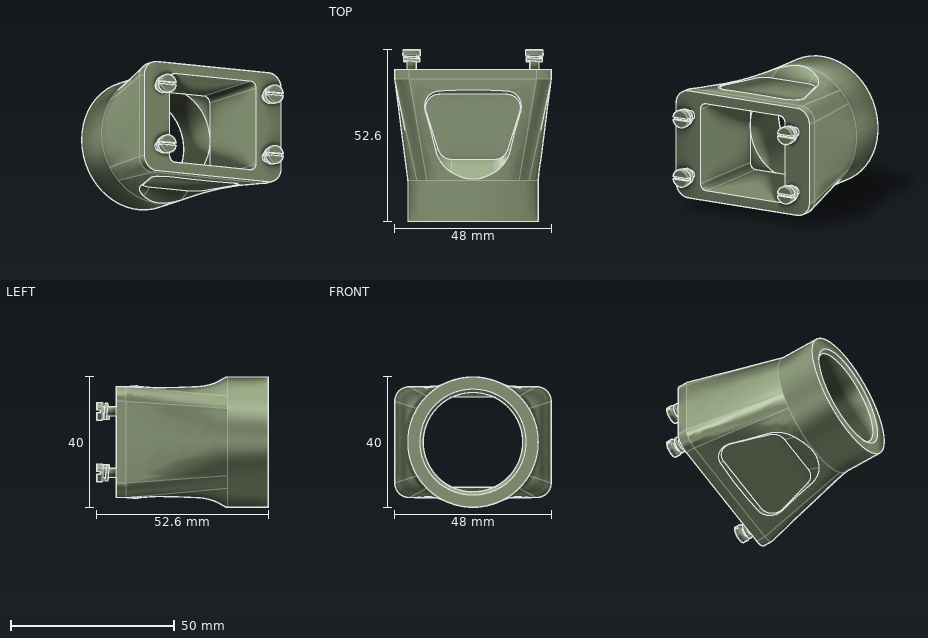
import cadquery as cq
import math


total_length = 52.6
collar_length = 12.5
flange_thickness = 3.0
screw_reach = 6.0
flange_back = total_length - screw_reach
flange_front = flange_back - flange_thickness

collar_radius = 20.0
flange_width = 48.0
flange_height = 34.0
flange_corner = 4.45

corner_side_angle = 31.0
corner_top_angle = 45.0

bore_radius = 15.2
bore_depth = 17.6
mouth_chamfer = 1.05
cavity_width = 30.3
cavity_height = 27.55
cavity_corner = 2.0

recess_floor = 16.6
recess_front = 19.05
recess_back = 39.0
recess_front_half_width = 9.7
recess_back_half_width = 16.05
recess_corner = 4.15
recess_wall_taper = 61.0
recess_cut_height = 4.2

screw_x = 18.8
screw_z = 9.4
shank_radius = 1.45
head_radius = 2.75
head_height = 2.0
head_under_fillet = 0.4
head_top_fillet = 0.2
slot_width = 0.8
slot_depth = 1.1

washer_radius = 2.5
washer_thickness = 0.9
washer_pitch = 0.85
washer_edge_fillet = 0.2
washer_offset = 2.95
washer_overlap = 0.15
washer_turn = 350.0


def along_y(y):
    """Workplane at position y whose normal is +Y, with local x = X and local y = -Z."""
    return cq.Workplane("XZ", origin=(0, y, 0)).transformed(rotate=(180, 0, 0))


def closed_wire(points, mid_points):
    """Closed outline through the points; an edge with a mid point is an arc, else a line."""
    edges = []
    for i, start in enumerate(points):
        end = points[(i + 1) % len(points)]
        if mid_points[i] is None:
            edges.append(cq.Edge.makeLine(start, end))
        else:
            edges.append(cq.Edge.makeThreePointArc(start, mid_points[i], end))
    return cq.Wire.assembleEdges(edges)


def flange_wire(y):
    """Rounded rectangle of four corner arcs and four straight sides."""
    center_x = flange_width / 2 - flange_corner
    center_z = flange_height / 2 - flange_corner
    points = []
    mid_points = []
    for quarter, (sx, sz) in enumerate([(1, 1), (-1, 1), (-1, -1), (1, -1)]):
        for step in (0, 45, 90):
            angle = math.radians(90 * quarter + step)
            point = cq.Vector(
                sx * center_x + flange_corner * math.cos(angle),
                y,
                sz * center_z + flange_corner * math.sin(angle),
            )
            if step == 45:
                mid_points.append(point)
            else:
                points.append(point)
        mid_points.append(None)
    return closed_wire(points, mid_points)


def collar_wire(y):
    """Collar circle split into eight arcs that pair with the flange edges."""
    side = corner_side_angle
    top = corner_top_angle
    angles = [side, top, 180 - top, 180 - side, 180 + side, 180 + top, 360 - top, 360 - side]

    def on_circle(angle):
        turn = math.radians(angle)
        return cq.Vector(collar_radius * math.cos(turn), y, collar_radius * math.sin(turn))

    next_angles = angles[1:] + [360 + side]
    points = [on_circle(angle) for angle in angles]
    mid_points = [on_circle((a + b) / 2) for a, b in zip(angles, next_angles)]
    return closed_wire(points, mid_points)


def make_shell():
    """Solid outside of the hood: collar, ruled transition and flange."""
    collar = along_y(0).circle(collar_radius).extrude(collar_length)
    wires = [collar_wire(collar_length), flange_wire(flange_front)]
    transition = cq.Workplane(obj=cq.Solid.makeLoft(wires, True))
    flange = (
        along_y(flange_front)
        .rect(flange_width, flange_height)
        .extrude(flange_thickness)
        .edges("|Y")
        .fillet(flange_corner)
    )
    return collar.union(transition).union(flange)


def make_opening():
    """Chamfered bore that opens into a rounded rectangular cavity through the flange."""
    bore = along_y(0).circle(bore_radius).extrude(bore_depth)
    chamfer = cq.Workplane(
        obj=cq.Solid.makeCone(
            bore_radius + mouth_chamfer,
            bore_radius,
            mouth_chamfer,
            pnt=cq.Vector(0, 0, 0),
            dir=cq.Vector(0, 1, 0),
        )
    )
    cavity = (
        along_y(bore_depth)
        .rect(cavity_width, cavity_height)
        .extrude(flange_back - bore_depth)
        .edges("|Y")
        .fillet(cavity_corner)
    )
    return bore.union(chamfer).union(cavity)


def make_recess():
    """Trapezoidal recess with rounded corners and sloping walls, flat floor down."""
    outline = (
        cq.Sketch()
        .polygon(
            [
                (-recess_front_half_width, recess_front),
                (recess_front_half_width, recess_front),
                (recess_back_half_width, recess_back),
                (-recess_back_half_width, recess_back),
                (-recess_front_half_width, recess_front),
            ]
        )
        .vertices()
        .fillet(recess_corner)
    )
    return (
        cq.Workplane("XY", origin=(0, 0, recess_floor))
        .placeSketch(outline)
        .extrude(recess_cut_height, taper=-recess_wall_taper)
    )


def make_washer():
    """Left-hand split spring washer about +Z, centred on the origin with its gap towards +Y."""
    rise = washer_pitch * washer_turn / 360
    inner_radius = shank_radius - washer_overlap
    ring_width = washer_radius - inner_radius
    helix = cq.Wire.makeHelix(washer_pitch, rise, washer_radius, lefthand=True)
    section = cq.Sketch().rect(ring_width, washer_thickness).vertices().fillet(washer_edge_fillet)
    coil = (
        cq.Workplane("XZ", origin=(inner_radius + ring_width / 2, 0, 0))
        .placeSketch(section)
        .sweep(cq.Workplane(obj=helix), isFrenet=True)
    )
    gap_half_angle = (360 - washer_turn) / 2
    return coil.translate((0, 0, -rise / 2)).rotate((0, 0, 0), (0, 0, 1), 90 - gap_half_angle)


def make_screw():
    """Slotted screw along +Z with its washer; the flange face is at Z = 0."""
    head_base = screw_reach - head_height
    head = (
        cq.Workplane("XY", origin=(0, 0, head_base))
        .circle(head_radius)
        .extrude(head_height)
        .faces("<Z")
        .edges()
        .fillet(head_under_fillet)
        .faces(">Z")
        .edges()
        .fillet(head_top_fillet)
    )
    slot = (
        cq.Workplane("XY", origin=(0, 0, screw_reach - slot_depth))
        .rect(2 * head_radius, slot_width)
        .extrude(slot_depth)
    )
    shank = cq.Workplane("XY").circle(shank_radius).extrude(head_base)
    washer = make_washer().translate((0, 0, washer_offset))
    return shank.union(head.cut(slot)).union(washer)


recess = make_recess()
body = make_shell().cut(make_opening()).cut(recess).cut(recess.mirror("XY"))

upper_screw = make_screw().rotate((0, 0, 0), (1, 0, 0), -90).translate((0, flange_back, 0))
lower_screw = upper_screw.rotate((0, 0, 0), (0, 1, 0), 180)
for x in (-screw_x, screw_x):
    body = body.union(upper_screw.translate((x, 0, screw_z)))
    body = body.union(lower_screw.translate((x, 0, -screw_z)))

result = body